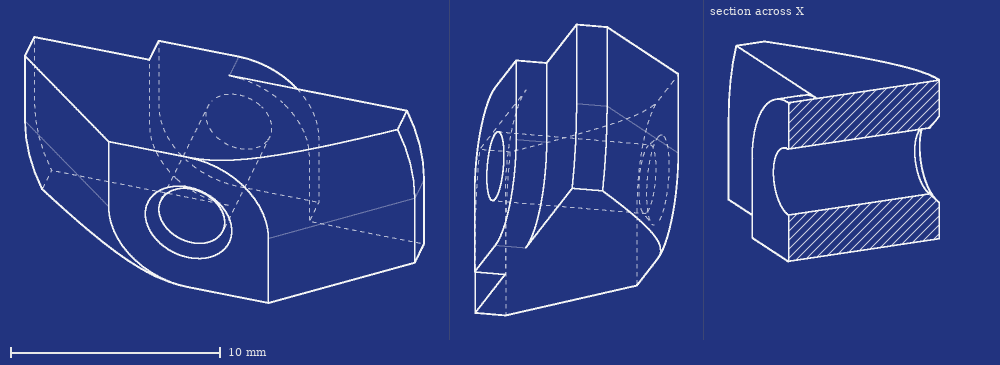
import cadquery as cq

length = 19.5
height = 8.0
boss_depth = 1.5
rim_depth = 1.5
taper_depth = 5.0
hole_diameter = 3.3
countersink_diameter = 4.33
countersink_angle = 90.0

half_length = length / 2
half_height = height / 2

rim_front = taper_depth
rim_back = rim_front + rim_depth
boss_back = rim_back + boss_depth

half_section = [
    (0, 0),
    (half_height, 0),
    (half_length, rim_front),
    (half_length, rim_back),
    (half_height, rim_back),
    (half_height, boss_back),
    (0, boss_back),
]


def flat_quadrant():
    """Prism filling the +X, -Z quadrant."""
    return cq.Workplane("XY").polyline(half_section).close().extrude(-half_height)


def turned_quadrant():
    """Quarter turn about the hole axis, in +X, +Z, cut off at the top face."""
    turned = cq.Workplane("XY").polyline(half_section).close().revolve(360, (0, 0), (0, 1))
    quadrant = cq.Workplane("XY").box(
        half_length, boss_back, half_height, centered=False
    )
    return turned.intersect(quadrant)


half_body = flat_quadrant().union(turned_quadrant())
other_half = half_body.rotate((0, 0, 0), (0, 1, 0), 180)
body = half_body.union(other_half)

result = (
    body.faces("<Y")
    .workplane(origin=(0, 0, 0))
    .cskHole(hole_diameter, countersink_diameter, countersink_angle)
)